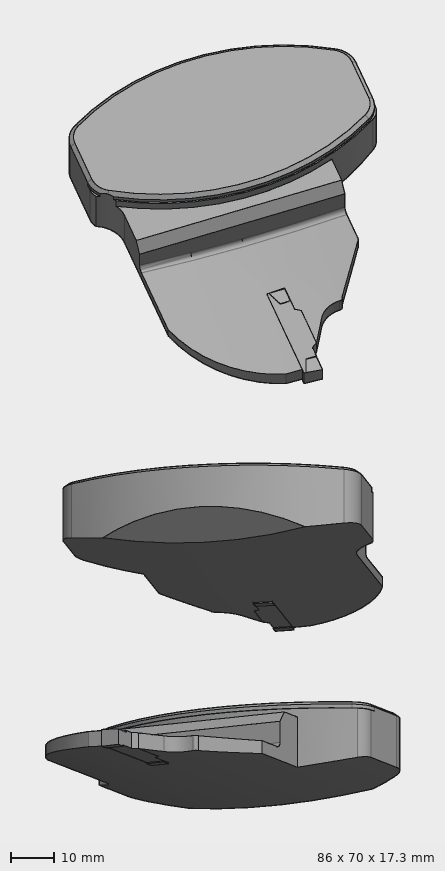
import cadquery as cq
import math

TOTAL_LENGTH = 86.0
TOP_Z = 17.3
FLOOR_Z = 0.3
UNDERSIDE_RADIUS = 150.4

HEAD_HALF_DEPTH = 35.0
CAP_WIDTH = 39.9
SIDE_RADIUS = 61.0
RIM = 0.35
RIM_Z = 15.6
CAP_CORNER_RADIUS = 6.3
RIM_CORNER_RADIUS = 3.95
TOP_CHAMFER_WIDTH = 1.0
TOP_CHAMFER_HEIGHT = 0.8
NOSE_CHAMFER = 6.7

ARM_START_X = 21.5
ARM_BACK_Y = 20.8
ARM_FRONT_Y = -29.6
BLOCK_END_X = 45.2
BLOCK_TOP_Z = 13.5
BLOCK_CHAMFER_WIDTH = 2.15
BLOCK_CHAMFER_HEIGHT = 2.6
BLOCK_FOOT_RADIUS = 1.3
HEAD_BLEND_RADIUS = 6.0
HEAD_BLEND_END_X = 35.25
HEAD_BLEND_FILL = 3.6
BLADE_END_X = 84.6
BLADE_ARC_START_X = 64.1
BLADE_ARC_MID = (76.8, -21.9)
BLADE_ARC_END_Y = -8.3
SLOPE_START_X = 54.1
NOTCH_LIP_START = (68.1, 11.6)
NOTCH_LIP_MID = (68.85, 11.3)
NOTCH_START = (69.0, 10.7)
NOTCH_MID = (69.7, 7.65)
NOTCH_END = (72.5, 4.9)
BLADE_TOP_Z = 3.95
BLADE_TOP_RADIUS = 283.7

INSERT_TOP_Z = BLADE_TOP_Z
INSERT_START_X = 60.95
INSERT_BACK_Y = 0.2
INSERT_FRONT_Y = -4.3
INSERT_TAPER = 0.3
BUMP_HEIGHT = 1.3
BUMP_BASE_HALF = 5.9
BUMP_TOP_HALF = 5.0
TIP_LENGTH = 2.5
RAKE_LENGTH = 3.95
RAKE_DEPTH = 0.35
RAKE_INNER_Y = -2.4
RAKE_OUTER_Y = -3.9

insert_mid_x = (INSERT_START_X + TOTAL_LENGTH) / 2
insert_back_half = (TOTAL_LENGTH - INSERT_START_X) / 2


def x_cylinder(radius, low_z):
    """Cylinder along X over the whole part, with its lowest line at low_z."""
    return (
        cq.Workplane("YZ")
        .center(0, low_z + radius)
        .circle(radius)
        .extrude(TOTAL_LENGTH)
    )


def head_prism(extra, arm_corner_radius, height):
    """Head outline extruded up from Z = 0, with the arm-side arc moved out by extra."""
    arm_radius = SIDE_RADIUS + extra
    outer_end_x = SIDE_RADIUS - math.sqrt(SIDE_RADIUS**2 - HEAD_HALF_DEPTH**2)
    arm_center_x = CAP_WIDTH - SIDE_RADIUS
    arm_end_x = arm_center_x + math.sqrt(arm_radius**2 - HEAD_HALF_DEPTH**2)
    prism = (
        cq.Workplane("XY")
        .moveTo(outer_end_x, HEAD_HALF_DEPTH)
        .threePointArc((0, 0), (outer_end_x, -HEAD_HALF_DEPTH))
        .lineTo(arm_end_x, -HEAD_HALF_DEPTH)
        .threePointArc((CAP_WIDTH + extra, 0), (arm_end_x, HEAD_HALF_DEPTH))
        .close()
        .extrude(height)
    )
    reach = 2 * HEAD_HALF_DEPTH
    mid_x = CAP_WIDTH / 2
    outer_corners = cq.selectors.BoxSelector((0, -reach, 0), (mid_x, reach, height))
    arm_corners = cq.selectors.BoxSelector((mid_x, -reach, 0), (TOTAL_LENGTH, reach, height))
    prism = prism.edges("|Z").edges(outer_corners).fillet(CAP_CORNER_RADIUS)
    return prism.edges("|Z").edges(arm_corners).fillet(arm_corner_radius)


def make_blade():
    """Thin blade with a notched back edge, a round front corner and a hollow top."""
    insert_cover_x = insert_mid_x + BUMP_TOP_HALF
    blade = (
        cq.Workplane("XY")
        .moveTo(ARM_START_X, ARM_FRONT_Y)
        .lineTo(BLADE_ARC_START_X, ARM_FRONT_Y)
        .threePointArc(BLADE_ARC_MID, (BLADE_END_X, BLADE_ARC_END_Y))
        .lineTo(BLADE_END_X, INSERT_FRONT_Y)
        .lineTo(insert_cover_x, INSERT_FRONT_Y)
        .lineTo(insert_cover_x, INSERT_BACK_Y + BUMP_HEIGHT)
        .lineTo(*NOTCH_END)
        .threePointArc(NOTCH_MID, NOTCH_START)
        .threePointArc(NOTCH_LIP_MID, NOTCH_LIP_START)
        .lineTo(SLOPE_START_X, ARM_BACK_Y)
        .lineTo(ARM_START_X, ARM_BACK_Y)
        .close()
        .extrude(BLOCK_TOP_Z)
    )
    return blade.cut(x_cylinder(BLADE_TOP_RADIUS, BLADE_TOP_Z))


def make_block():
    """Raised block between head and blade, with its far top edge bevelled."""
    return (
        cq.Workplane("XZ", origin=(0, ARM_BACK_Y, 0))
        .moveTo(ARM_START_X, 0)
        .lineTo(BLOCK_END_X, 0)
        .lineTo(BLOCK_END_X, BLOCK_TOP_Z - BLOCK_CHAMFER_HEIGHT)
        .lineTo(BLOCK_END_X - BLOCK_CHAMFER_WIDTH, BLOCK_TOP_Z)
        .lineTo(ARM_START_X, BLOCK_TOP_Z)
        .close()
        .extrude(ARM_BACK_Y - ARM_FRONT_Y)
    )


def head_blend_fill():
    """Stock in the corner between the head and the front side of the block."""
    width = HEAD_BLEND_END_X - ARM_START_X
    fill_depth = HEAD_BLEND_FILL
    return (
        cq.Workplane("XY")
        .box(width, fill_depth, BLOCK_TOP_Z, centered=False)
        .translate((ARM_START_X, ARM_FRONT_Y - fill_depth, 0))
    )


def head_blend_cutter():
    """Upright cylinder tangent to the block's front side, also trimming the head's corner."""
    return (
        cq.Workplane("XY")
        .center(HEAD_BLEND_END_X, ARM_FRONT_Y - HEAD_BLEND_RADIUS)
        .circle(HEAD_BLEND_RADIUS)
        .extrude(TOP_Z)
    )


def make_holder():
    cap = head_prism(0, CAP_CORNER_RADIUS, TOP_Z)
    cap = cap.faces(">Z").chamfer(TOP_CHAMFER_HEIGHT, TOP_CHAMFER_WIDTH)
    rim = head_prism(RIM, RIM_CORNER_RADIUS, RIM_Z)

    arm = make_block().union(make_blade())
    foot_limit_z = (BLADE_TOP_Z + BLOCK_TOP_Z - BLOCK_CHAMFER_HEIGHT) / 2
    foot = cq.selectors.BoxSelector(
        (BLOCK_END_X - BLOCK_FOOT_RADIUS, ARM_FRONT_Y, 0),
        (BLOCK_END_X + BLOCK_FOOT_RADIUS, ARM_BACK_Y, foot_limit_z),
    )
    arm = arm.edges("not |Z").edges(foot).fillet(BLOCK_FOOT_RADIUS)

    body = rim.union(arm).union(head_blend_fill()).union(cap).cut(head_blend_cutter())

    nose_cut = (
        cq.Workplane("XZ")
        .moveTo(0, 0)
        .lineTo(NOSE_CHAMFER + FLOOR_Z, 0)
        .lineTo(0, NOSE_CHAMFER + FLOOR_Z)
        .close()
        .extrude(HEAD_HALF_DEPTH, both=True)
    )
    return body.cut(nose_cut).intersect(x_cylinder(UNDERSIDE_RADIUS, FLOOR_Z))


def insert_prism(height):
    """Insert outline extruded up from Z = 0."""
    front_half = insert_back_half - INSERT_TAPER
    bump_y = INSERT_BACK_Y + BUMP_HEIGHT
    return (
        cq.Workplane("XY", origin=(insert_mid_x, 0, 0))
        .moveTo(-front_half, INSERT_FRONT_Y)
        .lineTo(front_half, INSERT_FRONT_Y)
        .lineTo(insert_back_half, INSERT_BACK_Y)
        .lineTo(BUMP_BASE_HALF, INSERT_BACK_Y)
        .lineTo(BUMP_TOP_HALF, bump_y)
        .lineTo(-BUMP_TOP_HALF, bump_y)
        .lineTo(-BUMP_BASE_HALF, INSERT_BACK_Y)
        .lineTo(-insert_back_half, INSERT_BACK_Y)
        .close()
        .extrude(height)
    )


def insert_blank():
    """Insert without its rake pockets, with only the tips reaching down to Z = 0."""
    underside_length = 2 * (insert_back_half - TIP_LENGTH)
    relief = (
        cq.Workplane("XY", origin=(insert_mid_x, 0, 0))
        .rect(underside_length, 4 * abs(INSERT_FRONT_Y))
        .extrude(FLOOR_Z)
    )
    return insert_prism(INSERT_TOP_Z).cut(relief)


def rake_pocket():
    """Sloping pocket in the far tip, deepest at the back edge."""
    inner_x = TOTAL_LENGTH - RAKE_LENGTH
    outline = (
        cq.Workplane("XY")
        .moveTo(inner_x, INSERT_BACK_Y)
        .lineTo(inner_x, RAKE_INNER_Y)
        .lineTo(TOTAL_LENGTH, RAKE_OUTER_Y)
        .lineTo(TOTAL_LENGTH, INSERT_BACK_Y)
        .close()
        .extrude(INSERT_TOP_Z)
    )
    wedge = (
        cq.Workplane("YZ", origin=(inner_x, 0, 0))
        .moveTo(RAKE_OUTER_Y, INSERT_TOP_Z)
        .lineTo(INSERT_BACK_Y, INSERT_TOP_Z)
        .lineTo(INSERT_BACK_Y, INSERT_TOP_Z - RAKE_DEPTH)
        .close()
        .extrude(RAKE_LENGTH)
    )
    return outline.intersect(wedge)


def make_insert():
    far_pocket = rake_pocket()
    near_pocket = far_pocket.mirror("YZ", (insert_mid_x, 0, 0))
    return insert_blank().cut(far_pocket).cut(near_pocket)


holder = make_holder().cut(insert_prism(BLOCK_TOP_Z))
insert = make_insert()

result = cq.Compound.makeCompound([*holder.solids().vals(), *insert.solids().vals()])